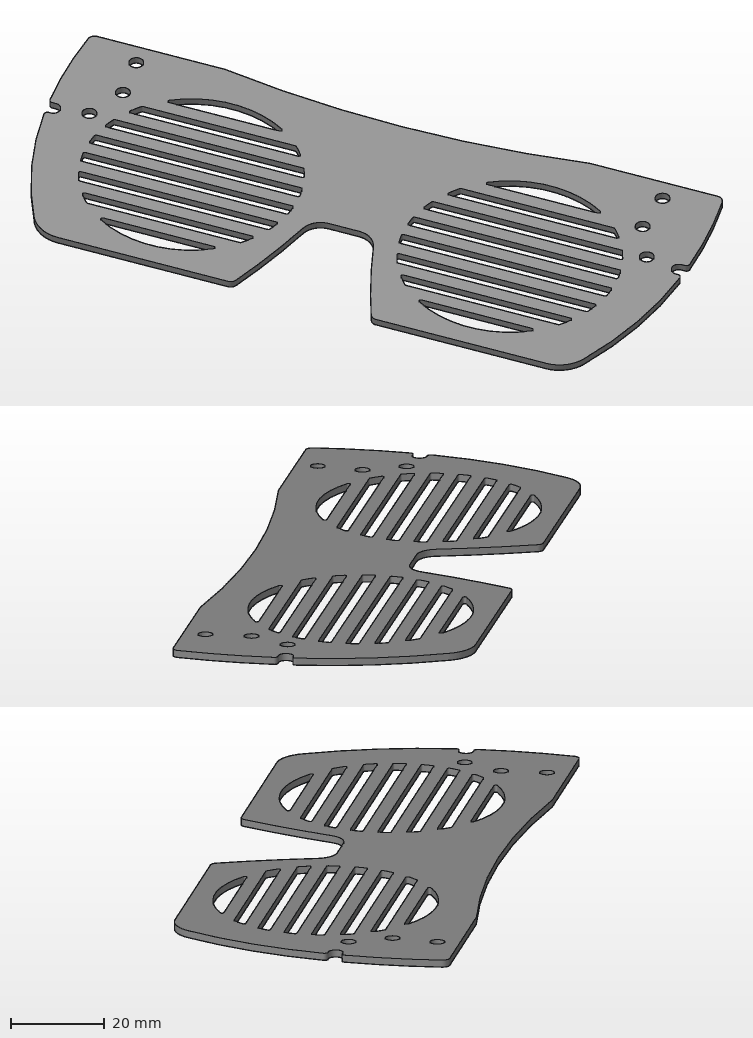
import cadquery as cq
import math

width = 147.0
height = 62.865
thickness = 1.6

half_width = width / 2
top_y = height / 2
bottom_y = -height / 2

brow_half_span = 41.8
brow_depth = 3.5

side_top_x = 72.4
side_widest_y = 16.4
side_lower_mid = (69.4, -11.9)
side_bottom_x = 60.5

bridge_y = -6.5
bridge_half_width = 7.1
nose_bottom_half_width = 15.9
nose_flank_bow = 0.5

top_corner_radius = 1.6
jaw_corner_radius = 8.0
nose_foot_radius = 1.6
bridge_corner_radius = 4.8

hole_diameter = 3.175
notch_center = (71.6, 6.7)
notch_mouth_radius = 0.8
notch_joint = (73.05, notch_center[1])

strap_holes = [(60.25, 26.6), (59.5, 16.7), (63.8, 7.95)]

lens_center = (36.45, -2.45)
lens_diameter = 48.26
bar_count = 7
bar_pitch = lens_diameter / (bar_count + 1)
bar_height = 3.175
slot_corner_radius = 0.4


def round_corners(body, corners, radius):
    """Fillet the vertical edge nearest to each (x, y) corner, on both sides of X = 0."""
    for x, y in corners:
        for side in (-1, 1):
            edge = cq.selectors.NearestToPointSelector((side * x, y, thickness / 2))
            body = body.edges("|Z").edges(edge).fillet(radius)
    return body


def make_half_plate():
    """+X half of the sharp-cornered plate."""
    nose_run = nose_bottom_half_width - bridge_half_width
    nose_drop = bridge_y - bottom_y
    nose_length = math.hypot(nose_run, nose_drop)
    nose_mid = (
        (bridge_half_width + nose_bottom_half_width) / 2 - nose_flank_bow * nose_drop / nose_length,
        (bridge_y + bottom_y) / 2 - nose_flank_bow * nose_run / nose_length,
    )
    brow_radius = (brow_half_span**2 + brow_depth**2) / (2 * brow_depth)
    brow_mid_x = brow_half_span / 2
    brow_center_y = top_y - brow_depth + brow_radius
    brow_mid_y = brow_center_y - math.sqrt(brow_radius**2 - brow_mid_x**2)
    return (
        cq.Workplane("XY")
        .moveTo(0, top_y - brow_depth)
        .threePointArc((brow_mid_x, brow_mid_y), (brow_half_span, top_y))
        .lineTo(side_top_x, top_y)
        .threePointArc((half_width, side_widest_y), notch_joint)
        .threePointArc(side_lower_mid, (side_bottom_x, bottom_y))
        .lineTo(nose_bottom_half_width, bottom_y)
        .threePointArc(nose_mid, (bridge_half_width, bridge_y))
        .lineTo(0, bridge_y)
        .close()
        .extrude(thickness)
    )


def make_plate():
    """Both halves joined, with the outline corners rounded."""
    half = make_half_plate()
    plate = half.union(half.mirror("YZ")).clean()
    plate = round_corners(plate, [(side_top_x, top_y)], top_corner_radius)
    plate = round_corners(plate, [(side_bottom_x, bottom_y)], jaw_corner_radius)
    plate = round_corners(plate, [(nose_bottom_half_width, bottom_y)], nose_foot_radius)
    return round_corners(plate, [(bridge_half_width, bridge_y)], bridge_corner_radius)


def cut_notches(plate):
    """Open a round-ended notch in each side and ease its mouth."""
    x, y = notch_center
    mouth_length = 2 * (half_width - x)
    for side in (-1, 1):
        center = (side * x, y)
        mouth_center = (side * (x + mouth_length / 2), y)
        round_end = cq.Workplane("XY").center(*center).circle(hole_diameter / 2).extrude(thickness)
        mouth = cq.Workplane("XY").center(*mouth_center).rect(mouth_length, hole_diameter).extrude(thickness)
        plate = plate.cut(round_end.union(mouth))
    mouth_corners = [(half_width, y + offset) for offset in (-hole_diameter / 2, hole_diameter / 2)]
    return round_corners(plate, mouth_corners, notch_mouth_radius)


def cut_strap_holes(plate):
    """Drill the strap holes through both ends."""
    points = [(side * x, y) for x, y in strap_holes for side in (-1, 1)]
    holes = cq.Workplane("XY").pushPoints(points).circle(hole_diameter / 2).extrude(thickness)
    return plate.cut(holes)


def make_lens_slots(center_x):
    """Solid that fills the slots left between the bars of one lens."""
    center_y = lens_center[1]
    disc = cq.Workplane("XY").center(center_x, center_y).circle(lens_diameter / 2).extrude(thickness)
    bars = (
        cq.Workplane("XY")
        .center(center_x, center_y)
        .rarray(lens_diameter, bar_pitch, 1, bar_count)
        .rect(lens_diameter, bar_height)
        .extrude(thickness)
    )
    slots = disc.cut(bars)
    return slots.edges("|Z").fillet(slot_corner_radius)


result = cut_strap_holes(cut_notches(make_plate()))
for lens_side in (-1, 1):
    result = result.cut(make_lens_slots(lens_side * lens_center[0]))